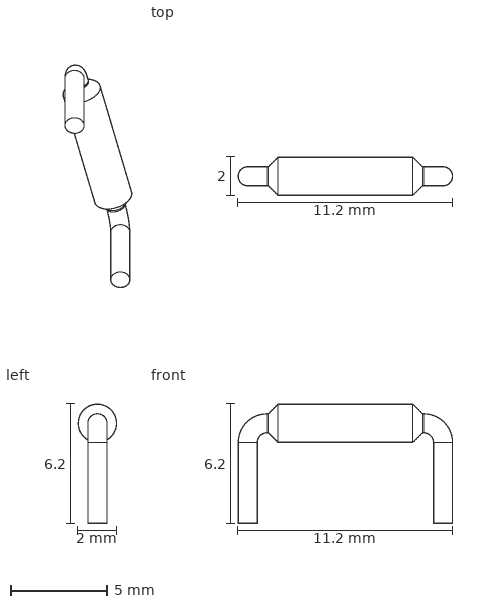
import cadquery as cq

overall_length = 11.16
overall_height = 6.2
body_diameter = 2.0
barrel_length = 7.0
wire_diameter = body_diameter / 2
bend_radius = wire_diameter

body_radius = body_diameter / 2
wire_radius = wire_diameter / 2
axis_height = overall_height - body_radius
leg_length = axis_height - bend_radius
leg_x = overall_length / 2 - wire_radius
body_end_x = leg_x - bend_radius
barrel_end_x = barrel_length / 2
cone_length = body_radius - wire_radius
cone_end_x = barrel_end_x + cone_length


def make_body():
    """Barrel with tapered ends and a short wire-sized stub at each end."""
    return (
        cq.Workplane("XZ", origin=(0, 0, axis_height))
        .moveTo(-body_end_x, 0)
        .lineTo(-body_end_x, wire_radius)
        .lineTo(-cone_end_x, wire_radius)
        .lineTo(-barrel_end_x, body_radius)
        .lineTo(barrel_end_x, body_radius)
        .lineTo(cone_end_x, wire_radius)
        .lineTo(body_end_x, wire_radius)
        .lineTo(body_end_x, 0)
        .close()
        .revolve(360, (0, 0, 0), (1, 0, 0))
    )


def make_elbow(side):
    """Quarter bend from the top of a leg to the body's end; side is -1 or 1."""
    bend_center_offset = -side * bend_radius
    return (
        cq.Workplane("XY", origin=(side * leg_x, 0, leg_length))
        .circle(wire_radius)
        .revolve(90, (bend_center_offset, 0), (bend_center_offset, -side))
    )


def make_leg(side):
    """Straight vertical wire; side is -1 or 1."""
    return cq.Workplane("XY", origin=(side * leg_x, 0, 0)).circle(wire_radius).extrude(leg_length)


body = make_body()
sides = (-1, 1)
elbows = [make_elbow(side).val() for side in sides]
legs = [make_leg(side).val() for side in sides]

result = cq.Compound.makeCompound([body.val(), *elbows, *legs])